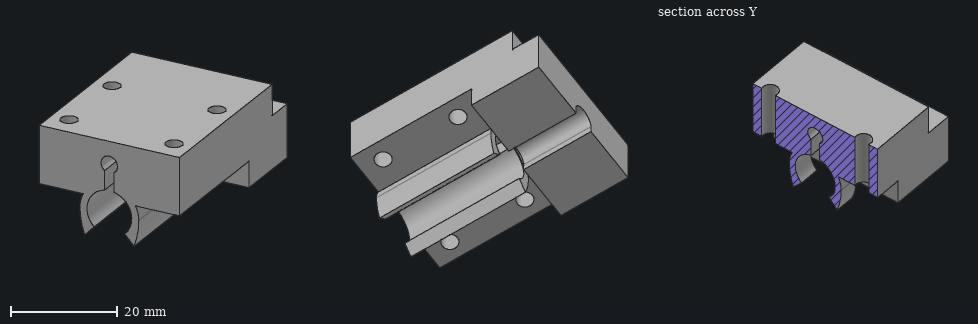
import cadquery as cq
import math


width = 30.0
length = 42.75
top_z = 15.0
overall_height = 20.67
body_height = 17.7
slab_thickness = 12.15
slab_bottom_z = top_z - slab_thickness
step_length = 6.0
step_depth = 6.5
foot_length = 15.25
foot_bottom_z = top_z - body_height
foot_front_y = length - foot_length

gap_length = 1.5
clip_length = foot_front_y - gap_length
clip_outer_radius = 6.3
clip_flare_radius = 16.25
clip_tip_z = top_z - overall_height
bore_radius = 4.75
gap_bore_radius = 5.25

slot_width = 2.0
relief_radius = 1.75
relief_z = 10.15

arch_radius = 2.5
arch_center_z = -1.0

hole_diameter = 3.4
hole_spacing_x = 22.4
hole_spacing_y = 17.0
hole_front_y = 4.875


def along_y(start, end):
    """XZ workplane at Y = start and the distance that extrudes it to Y = end."""
    return cq.Workplane("XZ", origin=(0, start, 0)), start - end


def cylinder_y(radius, z, start, end):
    plane, distance = along_y(start, end)
    return plane.center(0, z).circle(radius).extrude(distance)


def make_body():
    profile = (
        cq.Workplane("YZ", origin=(-width / 2, 0, 0))
        .moveTo(0, top_z)
        .lineTo(length - step_length, top_z)
        .lineTo(length - step_length, top_z - step_depth)
        .lineTo(length, top_z - step_depth)
        .lineTo(length, foot_bottom_z)
        .lineTo(foot_front_y, foot_bottom_z)
        .lineTo(foot_front_y, slab_bottom_z)
        .lineTo(0, slab_bottom_z)
        .close()
    )
    return profile.extrude(width)


def flare_x(z):
    """Half width of the clip where its sides curve inward below the rod axis."""
    return clip_outer_radius - clip_flare_radius + math.sqrt(clip_flare_radius**2 - z**2)


def make_clip():
    """Solid clip with round shoulders, flared sides and a V-shaped mouth that meets at the rod axis."""
    shoulder_x = math.sqrt(clip_outer_radius**2 - slab_bottom_z**2)
    shoulder_angle = math.asin(slab_bottom_z / clip_outer_radius) / 2
    shoulder_mid_x = clip_outer_radius * math.cos(shoulder_angle)
    shoulder_mid_z = clip_outer_radius * math.sin(shoulder_angle)
    tip_x = flare_x(clip_tip_z)
    side_mid_z = clip_tip_z / 2
    side_mid_x = flare_x(side_mid_z)
    plane, distance = along_y(0, clip_length)
    profile = (
        plane.moveTo(-shoulder_x, slab_bottom_z)
        .lineTo(shoulder_x, slab_bottom_z)
        .threePointArc((shoulder_mid_x, shoulder_mid_z), (clip_outer_radius, 0))
        .threePointArc((side_mid_x, side_mid_z), (tip_x, clip_tip_z))
        .lineTo(0, 0)
        .lineTo(-tip_x, clip_tip_z)
        .threePointArc((-side_mid_x, side_mid_z), (-clip_outer_radius, 0))
        .threePointArc((-shoulder_mid_x, shoulder_mid_z), (-shoulder_x, slab_bottom_z))
        .close()
    )
    return profile.extrude(distance)


def make_bore():
    """Clip bore, with a wider bore across the gap in front of the foot."""
    bore = cylinder_y(bore_radius, 0, 0, clip_length)
    return bore.union(cylinder_y(gap_bore_radius, 0, clip_length, foot_front_y))


def make_flex_slot():
    """Narrow slot from the bore up to a round relief."""
    plane, distance = along_y(0, clip_length)
    slot = plane.center(0, relief_z / 2).rect(slot_width, relief_z).extrude(distance)
    return slot.union(cylinder_y(relief_radius, relief_z, 0, clip_length))


def make_rod_passage():
    """Round-topped opening through the foot, open at the bottom."""
    plane, distance = along_y(foot_front_y, length)
    passage = (
        plane.moveTo(-arch_radius, foot_bottom_z)
        .lineTo(-arch_radius, arch_center_z)
        .threePointArc((0, arch_center_z + arch_radius), (arch_radius, arch_center_z))
        .lineTo(arch_radius, foot_bottom_z)
        .close()
    )
    return passage.extrude(distance)


def make_mounting_holes():
    return (
        cq.Workplane("XY", origin=(0, hole_front_y + hole_spacing_y / 2, slab_bottom_z))
        .rarray(hole_spacing_x, hole_spacing_y, 2, 2)
        .circle(hole_diameter / 2)
        .extrude(slab_thickness)
    )


result = (
    make_body()
    .union(make_clip())
    .cut(make_bore())
    .cut(make_flex_slot())
    .cut(make_rod_passage())
    .cut(make_mounting_holes())
)